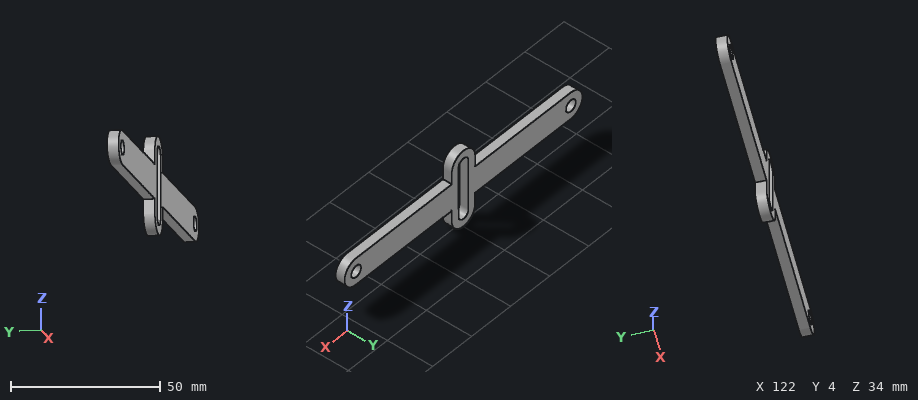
import cadquery as cq

length = 122.0
height = 34.0
thickness = 4.0
bar_width = 12.0
opening_width = 5.0

hole_spacing = length - bar_width
slot_length = height - bar_width + opening_width

plane = cq.Workplane("XZ", origin=(0, thickness / 2, 0))


def rounded_bar(overall_length, width, angle):
    """Plate with semicircular ends, turned by angle from the X axis."""
    return plane.slot2D(overall_length, width, angle).extrude(thickness)


long_bar = rounded_bar(length, bar_width, 0)
cross_bar = rounded_bar(height, bar_width, 90)
slot = rounded_bar(slot_length, opening_width, 90)

end_holes = (
    plane.pushPoints([(-hole_spacing / 2, 0), (hole_spacing / 2, 0)])
    .circle(opening_width / 2)
    .extrude(thickness)
)

result = long_bar.union(cross_bar).cut(slot).cut(end_holes)